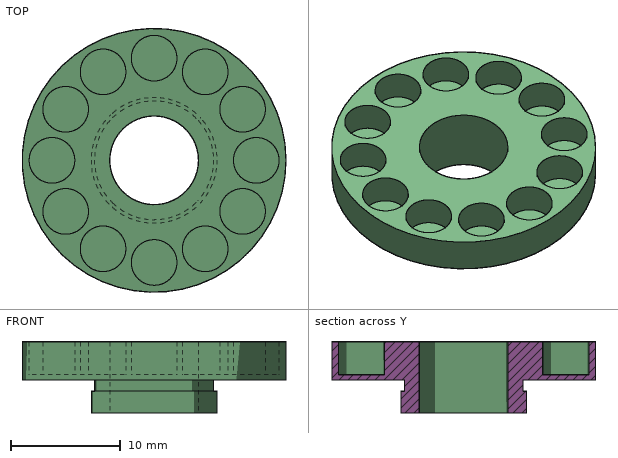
import cadquery as cq

disc_diameter = 24.0
total_height = 6.5
bore_diameter = 8.05

collar_diameter = 11.45
collar_height = 2.0
neck_diameter = 10.82
neck_height = 1.0
disc_height = total_height - collar_height - neck_height

pocket_count = 12
pocket_diameter = 4.15
pocket_circle_radius = 9.3
pocket_depth = 3.0


def make_body():
    """Collar, neck and disc stacked upward from Z = 0."""
    return (
        cq.Workplane("XY")
        .circle(collar_diameter / 2)
        .extrude(collar_height)
        .faces(">Z")
        .workplane()
        .circle(neck_diameter / 2)
        .extrude(neck_height)
        .faces(">Z")
        .workplane()
        .circle(disc_diameter / 2)
        .extrude(disc_height)
    )


def make_bore():
    """Central hole through the full height."""
    return cq.Workplane("XY").circle(bore_diameter / 2).extrude(total_height)


def make_pockets():
    """Evenly spaced cylinders reaching down from the top face."""
    return (
        cq.Workplane("XY", origin=(0, 0, total_height))
        .polarArray(pocket_circle_radius, 0, 360, pocket_count)
        .circle(pocket_diameter / 2)
        .extrude(-pocket_depth)
    )


result = make_body().cut(make_bore()).cut(make_pockets())